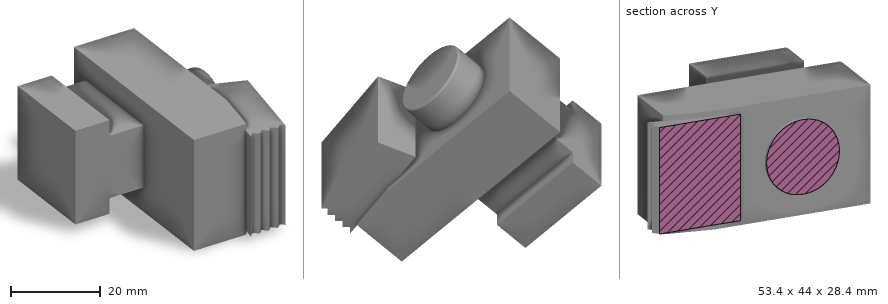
import cadquery as cq
import math

BODY_LENGTH = 50.0
BODY_DEPTH = 15.9
BODY_HEIGHT = 28.4

NUT_WIDTH = 24.0
NUT_OFFSET = 5.0
NECK_HEIGHT = 16.0
NECK_DEPTH = 9.0
FLANGE_DEPTH = 9.0

SCREW_X = NUT_OFFSET + NUT_WIDTH / 2
SCREW_DIAMETER = 18.0
SCREW_PROJECTION = 8.1
SCREW_EDGE_RADIUS = 0.5

TILT = math.radians(10.0)
JAW_HEIGHT = 25.6
JAW_THICKNESS = 9.1
JAW_TOP = 10.1
JAW_TIP_X = 53.36
JAW_REAR_X = 31.4
REAR_LEAN = math.radians(20.0)
TOOTH_DEPTH = 1.2
TOOTH_PITCH = 2 * TOOTH_DEPTH
TOOTH_COUNT = 4

SEAT_START_X = 38.5


def block(x_start, length, y_start, depth, height):
    """Box starting at x_start and y_start, centred on Z = 0."""
    return (
        cq.Workplane("XY")
        .box(length, depth, height, centered=(False, False, True))
        .translate((x_start, y_start, 0))
    )


def extrude_profile(points, height):
    """Prism of an XY outline, centred on Z = 0."""
    return cq.Workplane("XY").polyline(points).close().extrude(height / 2, both=True)


def make_body():
    seat_drop = (BODY_LENGTH - SEAT_START_X) * math.tan(TILT)
    outline = [
        (0, -BODY_DEPTH),
        (BODY_LENGTH, -BODY_DEPTH),
        (BODY_LENGTH, -seat_drop),
        (SEAT_START_X, 0),
        (0, 0),
    ]
    return extrude_profile(outline, BODY_HEIGHT)


def make_nut():
    neck_start = -BODY_DEPTH - NECK_DEPTH
    neck = block(NUT_OFFSET, NUT_WIDTH, neck_start, NECK_DEPTH, NECK_HEIGHT)
    flange = block(NUT_OFFSET, NUT_WIDTH, neck_start - FLANGE_DEPTH, FLANGE_DEPTH, NUT_WIDTH)
    return neck.union(flange)


def make_screw_head():
    return (
        cq.Workplane("XZ", origin=(SCREW_X, 0, 0))
        .circle(SCREW_DIAMETER / 2)
        .extrude(-SCREW_PROJECTION)
        .faces(">Y")
        .edges()
        .fillet(SCREW_EDGE_RADIUS)
    )


def make_jaw():
    slope = math.tan(TILT)
    rear_length = JAW_THICKNESS / math.cos(REAR_LEAN - TILT)
    rear_bottom_x = JAW_REAR_X - rear_length * math.sin(REAR_LEAN)
    rear_bottom_y = JAW_TOP - rear_length * math.cos(REAR_LEAN)
    lowest_tip_y = rear_bottom_y - slope * (JAW_TIP_X - rear_bottom_x)

    outline = [(JAW_REAR_X, JAW_TOP), (rear_bottom_x, rear_bottom_y)]
    for tooth in range(TOOTH_COUNT):
        tip_y = lowest_tip_y + tooth * TOOTH_PITCH
        outline.append((JAW_TIP_X, tip_y))
        outline.append((JAW_TIP_X - TOOTH_DEPTH, tip_y + TOOTH_PITCH / 2))

    root_x, root_y = outline[-1]
    top_above_root = JAW_TOP - slope * (root_x - JAW_REAR_X)
    flank_rise = (top_above_root - root_y) / (1 + slope)
    outline.append((root_x + flank_rise, root_y + flank_rise))
    return extrude_profile(outline, JAW_HEIGHT)


result = make_body().union(make_nut()).union(make_screw_head()).union(make_jaw())